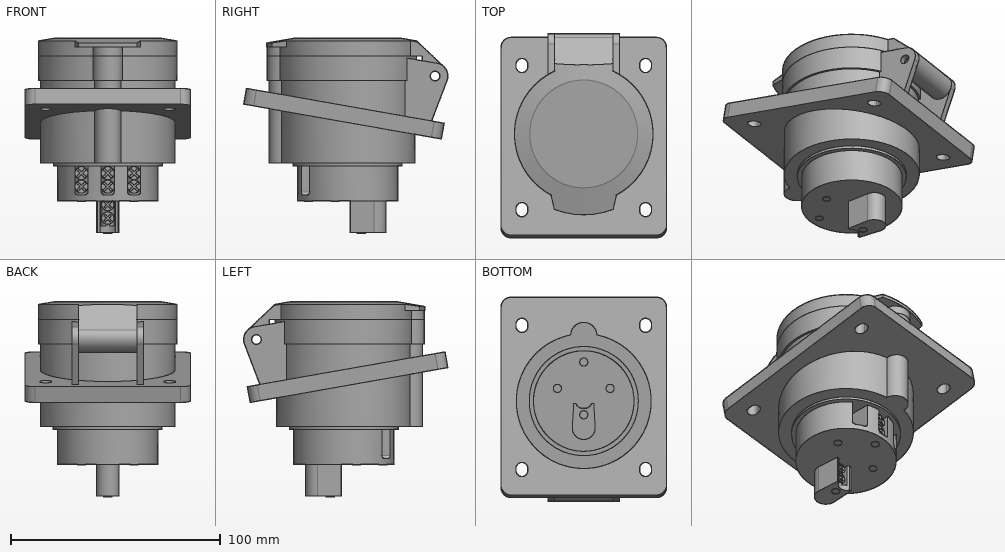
import cadquery as cq
import math


BARREL_RADIUS = 32.2
COLLAR_RADIUS = 33.1
COLLAR_BOTTOM = 39.4
LID_BOTTOM = 51.1
RIB_CENTRE_Y = -31.3
RIB_RADIUS = 6.2
COLLAR_RIB_RADIUS = 7.1

FLANGE_WIDTH = 79.0
FLANGE_LENGTH = 95.8
FLANGE_THICKNESS = 7.7
FLANGE_CORNER = 4.9
FLANGE_TILT = 10.0
FLANGE_CENTRE_Y = -1.8
FLANGE_CENTRE_Z = 23.6
HOLE_SPACING_X = 59.0
HOLE_SPACING_Y = 68.7
HOLE_WIDTH = 5.6
HOLE_LENGTH = 6.6

PIVOT_Y = 41.7
PIVOT_Z = 41.5
HINGE_RADIUS = 6.1
PIVOT_HOLE_RADIUS = 2.2
EAR_OUTER_X = 17.1
ARM_HALF_WIDTH = 13.9
EAR_FOOT_Y = 39.0
EAR_FOOT_Z = 17.2

LID_TOP = 59.6
LID_FLAT_RADIUS = 25.7
LID_RIM_Z = 58.3
TAB_RADIUS = 38.6
TAB_ROOT_HALF_WIDTH = 15.6
TAB_TIP_HALF_WIDTH = 14.0
TAB_BOTTOM = 55.5
ARM_SLOPE = 43.4

RING_RADIUS = 26.0
RING_BOTTOM = -1.4
INSERT_RADIUS = 24.0
INSERT_BOTTOM = -17.9

CONTACT_CIRCLE_Y = -6.0
CONTACT_CIRCLE_RADIUS = 12.6
CONTACT_RADIUS = 3.1
END_BOSS_RADIUS = 1.95
END_BOSS_HEIGHT = 0.3
SLOT_WIDTH = 6.2
SLOT_BOTTOM = -15.1
SLOT_CORNER = 1.5

BLOCK_BOTTOM = -33.15
BLOCK_FRONT_Y = 1.2
BLOCK_FRONT_HALF_WIDTH = 4.8
BLOCK_BACK_HALF_WIDTH = 5.5
BLOCK_SHOULDER_Y = 12.6
BLOCK_BACK_Y = 18.3
TROUGH_RADIUS = 4.1
TROUGH_CENTRE_Y = -0.5
EARTH_SLOT_BOTTOM = -29.9

SCREW_PITCH = 6.4
PHASE_SCREW_RADIUS = 3.1
PHASE_SCREW_TOP_Z = -4.8
EARTH_SCREW_RADIUS = 2.9
EARTH_SCREW_TOP_Z = -19.8
SCREW_LENGTH = 3.2
CROSS_ARM_WIDTH = 1.0
CROSS_DEPTH = 0.5
PHASE_CROSS_LENGTH = 5.7
EARTH_CROSS_LENGTH = 4.1

PHASE_CONTACTS = [
    (-CONTACT_CIRCLE_RADIUS, CONTACT_CIRCLE_Y),
    (0.0, CONTACT_CIRCLE_Y - CONTACT_CIRCLE_RADIUS),
    (CONTACT_CIRCLE_RADIUS, CONTACT_CIRCLE_Y),
]
EARTH_CONTACT = (0.0, CONTACT_CIRCLE_Y + CONTACT_CIRCLE_RADIUS)


def cylinder(radius, bottom, top, centre=(0.0, 0.0)):
    """Upright cylinder between two heights."""
    return cq.Workplane("XY", origin=(*centre, bottom)).circle(radius).extrude(top - bottom)


def block(x_min, x_max, y_min, y_max, z_min, z_max):
    """Box given by its limits along each axis."""
    return cq.Workplane("XY").box(
        x_max - x_min, y_max - y_min, z_max - z_min, centered=False
    ).translate((x_min, y_min, z_min))


def ribbed_cylinder(radius, rib_radius, bottom, top):
    """Cylinder with the round keying rib on its -Y side."""
    rib = cylinder(rib_radius, bottom, top, (0.0, RIB_CENTRE_Y))
    return cylinder(radius, bottom, top).union(rib)


def hinge_point(angle):
    """Point (y, z) of the hinge rounding at an angle from +Y towards +Z, in degrees."""
    a = math.radians(angle)
    return (PIVOT_Y + HINGE_RADIUS * math.cos(a), PIVOT_Z + HINGE_RADIUS * math.sin(a))


def pivot_hole():
    """Hole through the whole hinge along X."""
    return (
        cq.Workplane("YZ")
        .center(PIVOT_Y, PIVOT_Z)
        .circle(PIVOT_HOLE_RADIUS)
        .extrude(EAR_OUTER_X, both=True)
    )


def flange():
    """Rounded plate tilted about X, with four upright slotted fixing holes."""
    plate = (
        cq.Workplane("XY")
        .box(FLANGE_WIDTH, FLANGE_LENGTH, FLANGE_THICKNESS)
        .edges("|Z")
        .fillet(FLANGE_CORNER)
        .rotate((0, 0, 0), (1, 0, 0), -FLANGE_TILT)
    )
    holes = (
        cq.Workplane("XY")
        .rarray(HOLE_SPACING_X, HOLE_SPACING_Y, 2, 2)
        .slot2D(HOLE_LENGTH, HOLE_WIDTH, 90)
        .extrude(FLANGE_LENGTH, both=True)
    )
    return plate.cut(holes).translate((0, FLANGE_CENTRE_Y, FLANGE_CENTRE_Z))


def hinge_ears():
    """Two plates rising from the flange beside the lid arm, rounded about the pivot."""
    top_tangent = 90 - FLANGE_TILT
    foot_dy = EAR_FOOT_Y - PIVOT_Y
    foot_dz = EAR_FOOT_Z - PIVOT_Z
    foot_angle = math.degrees(math.atan2(foot_dz, foot_dy))
    back_tangent = foot_angle + math.degrees(math.acos(HINGE_RADIUS / math.hypot(foot_dy, foot_dz)))
    start = hinge_point(top_tangent)
    inner_z = start[1] + start[0] * math.tan(math.radians(FLANGE_TILT))
    profile = (
        cq.Workplane("YZ")
        .moveTo(0, inner_z)
        .lineTo(*start)
        .threePointArc(hinge_point((top_tangent + back_tangent) / 2), hinge_point(back_tangent))
        .lineTo(EAR_FOOT_Y, EAR_FOOT_Z)
        .lineTo(0, FLANGE_CENTRE_Z)
        .close()
        .extrude(EAR_OUTER_X, both=True)
    )
    gap = block(-ARM_HALF_WIDTH, ARM_HALF_WIDTH, 0, PIVOT_Y + 2 * HINGE_RADIUS, 0, LID_TOP)
    barrel = cylinder(COLLAR_RADIUS, COLLAR_BOTTOM, LID_TOP)
    return profile.cut(gap).cut(barrel).cut(pivot_hole())


def slot_box(contact, front_y, bottom, top):
    """Box-shaped slot reaching from the front to a contact's axis."""
    x, y = contact
    return block(x - SLOT_WIDTH / 2, x + SLOT_WIDTH / 2, front_y, y, bottom, top)


def phase_slot(contact):
    """Slot in the insert with rounded lower corners, leaving the phase contact standing in it."""
    slot = slot_box(contact, -RING_RADIUS, SLOT_BOTTOM, RING_BOTTOM)
    rounded = slot.edges("|Y and <Z").fillet(SLOT_CORNER)
    return rounded.cut(cylinder(CONTACT_RADIUS, SLOT_BOTTOM, RING_BOTTOM, contact))


def earth_block():
    """Drafted block with a round back, a round trough down its front and the earth slot."""
    body = (
        cq.Workplane("XY", origin=(0, 0, BLOCK_BOTTOM))
        .moveTo(-BLOCK_FRONT_HALF_WIDTH, BLOCK_FRONT_Y)
        .lineTo(BLOCK_FRONT_HALF_WIDTH, BLOCK_FRONT_Y)
        .lineTo(BLOCK_BACK_HALF_WIDTH, BLOCK_SHOULDER_Y)
        .threePointArc((0, BLOCK_BACK_Y), (-BLOCK_BACK_HALF_WIDTH, BLOCK_SHOULDER_Y))
        .close()
        .extrude(INSERT_BOTTOM - BLOCK_BOTTOM)
    )
    trough = cylinder(TROUGH_RADIUS, BLOCK_BOTTOM, INSERT_BOTTOM, (0.0, TROUGH_CENTRE_Y))
    slot = slot_box(EARTH_CONTACT, BLOCK_FRONT_Y, EARTH_SLOT_BOTTOM, INSERT_BOTTOM)
    contact = cylinder(CONTACT_RADIUS, EARTH_SLOT_BOTTOM, INSERT_BOTTOM, EARTH_CONTACT)
    return body.cut(trough).cut(slot.cut(contact))


def end_boss(centre, face_z):
    """Low round boss under a contact."""
    return cylinder(END_BOSS_RADIUS, face_z - END_BOSS_HEIGHT, face_z, centre)


def screw_blank(contact, z, radius):
    """Plain round screw, from the contact axis to just proud of the contact's -Y side."""
    x, y = contact
    return cq.Workplane("XZ", origin=(x, y, z)).circle(radius).extrude(SCREW_LENGTH)


def screw(contact, z, radius, cross_length):
    """Terminal screw with a diagonal cross recess in its face."""
    x, y = contact
    arm = cq.Workplane("XY").box(cross_length, 2 * CROSS_DEPTH, CROSS_ARM_WIDTH)
    cross = arm.union(arm.rotate((0, 0, 0), (0, 1, 0), 90)).rotate((0, 0, 0), (0, 1, 0), 45)
    return screw_blank(contact, z, radius).cut(cross.translate((x, y - SCREW_LENGTH, z)))


screw_places = [
    (contact, PHASE_SCREW_TOP_Z - row * SCREW_PITCH, PHASE_SCREW_RADIUS, PHASE_CROSS_LENGTH)
    for contact in PHASE_CONTACTS
    for row in range(2)
] + [
    (EARTH_CONTACT, EARTH_SCREW_TOP_Z - row * SCREW_PITCH, EARTH_SCREW_RADIUS, EARTH_CROSS_LENGTH)
    for row in range(2)
]


def make_housing():
    """Barrel, collar, flange, hinge ears and contact insert in one solid."""
    insert = cylinder(RING_RADIUS, RING_BOTTOM, 0).union(
        cylinder(INSERT_RADIUS, INSERT_BOTTOM, RING_BOTTOM)
    )
    for contact in PHASE_CONTACTS:
        insert = insert.cut(phase_slot(contact)).union(end_boss(contact, INSERT_BOTTOM))
    insert = insert.union(earth_block()).union(end_boss(EARTH_CONTACT, BLOCK_BOTTOM))
    housing = (
        ribbed_cylinder(BARREL_RADIUS, RIB_RADIUS, 0, COLLAR_BOTTOM)
        .union(ribbed_cylinder(COLLAR_RADIUS, COLLAR_RIB_RADIUS, COLLAR_BOTTOM, LID_BOTTOM))
        .union(flange())
        .union(hinge_ears())
        .union(insert)
    )
    for contact, z, radius, _ in screw_places:
        housing = housing.cut(screw_blank(contact, z, radius))
    return housing


def lid_tab():
    """Opening tab at the front of the lid, with a tip concentric with the lid."""
    tip_y = -math.sqrt(TAB_RADIUS**2 - TAB_TIP_HALF_WIDTH**2)
    root_y = -math.sqrt(COLLAR_RADIUS**2 - TAB_ROOT_HALF_WIDTH**2)
    return (
        cq.Workplane("XY", origin=(0, 0, TAB_BOTTOM))
        .moveTo(-TAB_ROOT_HALF_WIDTH, root_y)
        .lineTo(-TAB_TIP_HALF_WIDTH, tip_y)
        .threePointArc((0, -TAB_RADIUS), (TAB_TIP_HALF_WIDTH, tip_y))
        .lineTo(TAB_ROOT_HALF_WIDTH, root_y)
        .close()
        .extrude(LID_TOP - TAB_BOTTOM)
    )


def lid_arm():
    """Arm from the lid back to the pivot, sloping down and rounded about the pivot."""
    slope_tangent = 90 - ARM_SLOPE
    slope_end = hinge_point(slope_tangent)
    slope_start_y = slope_end[0] - (LID_TOP - slope_end[1]) / math.tan(math.radians(ARM_SLOPE))
    front_y = PIVOT_Y - HINGE_RADIUS
    return (
        cq.Workplane("YZ")
        .moveTo(0, LID_BOTTOM)
        .lineTo(0, LID_TOP)
        .lineTo(slope_start_y, LID_TOP)
        .lineTo(*slope_end)
        .threePointArc(hinge_point(-90), (front_y, PIVOT_Z))
        .lineTo(front_y, LID_BOTTOM)
        .close()
        .extrude(ARM_HALF_WIDTH, both=True)
        .cut(pivot_hole())
    )


def lid_envelope():
    """Solid under the lid's flat top and the cone around it, reaching past the tab and arm."""
    cone_slope = (LID_TOP - LID_RIM_Z) / (COLLAR_RADIUS - LID_FLAT_RADIUS)
    reach = 2 * COLLAR_RADIUS
    return (
        cq.Workplane("XZ")
        .moveTo(0, 0)
        .lineTo(reach, 0)
        .lineTo(reach, LID_TOP - cone_slope * (reach - LID_FLAT_RADIUS))
        .lineTo(LID_FLAT_RADIUS, LID_TOP)
        .lineTo(0, LID_TOP)
        .close()
        .revolve(360, (0, 0, 0), (0, 1, 0))
    )


def make_lid():
    """Hinged lid with its tab and arm."""
    return (
        ribbed_cylinder(COLLAR_RADIUS, COLLAR_RIB_RADIUS, LID_BOTTOM, LID_TOP)
        .union(lid_tab())
        .union(lid_arm())
        .intersect(lid_envelope())
    )


housing = make_housing()
lid = make_lid()
screws = [screw(*place) for place in screw_places]

result = cq.Compound.makeCompound([housing.val(), lid.val(), *[s.val() for s in screws]])